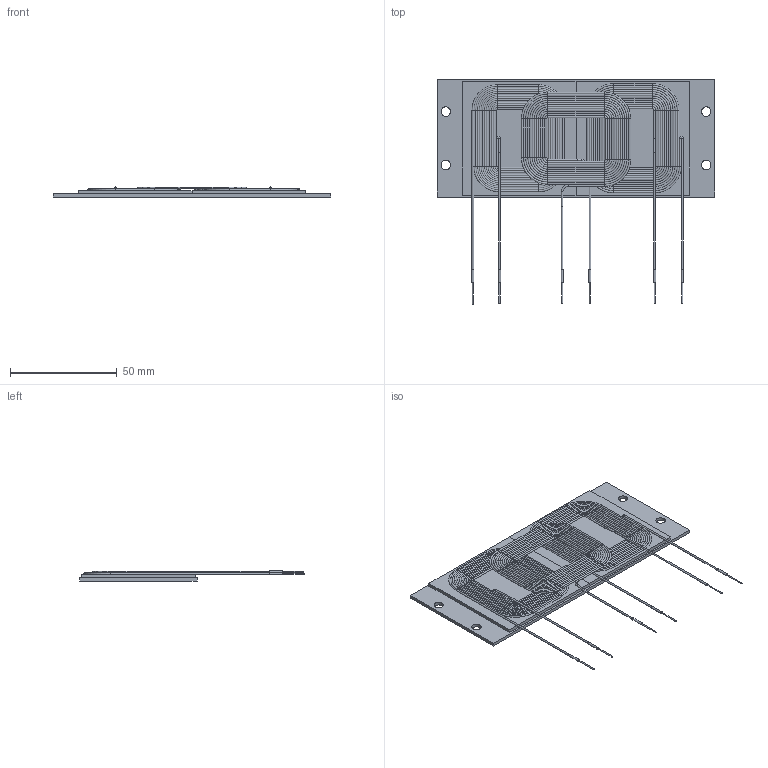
import cadquery as cq
import math

plate_length = 130.0
plate_width = 55.0
plate_thickness = 1.5
mounting_hole_diameter = 4.4
mounting_hole_spacing_x = 122.0
mounting_hole_spacing_y = 25.0

tile_length = 53.3
tile_width = 53.3
tile_thickness = 1.52

wire_diameter = 0.8
sleeve_diameter = 1.0
sleeve_length = 6.2
tip_diameter = 0.5

turns = 12
turn_pitch = 1.0
left_turns = 14
left_turn_pitch = 0.82

long_straight = 26.35
short_straight = 18.25
left_short_straight = 18.6

right_coil_inset = 17.55
left_coil_inset = 17.4

layer_ramp_length = 6.6
u_turn_width = 1.0
lead_bend_radius = 3.0
centre_lead_x = 6.5
crossing_x = 3.6
crossing_bend_radius = 1.0
crossing_drop_length = 2.0

sleeve_start_y = -61.3
lead_end_y = -77.3
longest_lead_end_y = -77.8

tile_top = plate_thickness + tile_thickness
lower_layer = tile_top + wire_diameter / 2
upper_layer = lower_layer + wire_diameter

half_diagonal = math.sqrt(0.5)
joint_tolerance = 1e-6


def line(start, end):
    return cq.Edge.makeLine(cq.Vector(*start), cq.Vector(*end))


def flat_arc(points, height):
    """Arc through three (x, y) points at one height."""
    return cq.Edge.makeThreePointArc(*[cq.Vector(x, y, height) for x, y in points])


def join(edges):
    """Adds the straight stretches that bridge the gaps between successive edges."""
    path = [edges[0]]
    for edge in edges[1:]:
        gap_start = path[-1].endPoint()
        gap_end = edge.startPoint()
        if (gap_end - gap_start).Length > joint_tolerance:
            path.append(cq.Edge.makeLine(gap_start, gap_end))
        path.append(edge)
    return path


def corner_arc(centre, start_direction, end_direction, radius, height, place):
    """Quarter turn about a corner centre, from one axis direction to the next."""
    middle_direction = [half_diagonal * (a + b) for a, b in zip(start_direction, end_direction)]
    directions = (start_direction, middle_direction, end_direction)
    points = [place(*[c + radius * d for c, d in zip(centre, direction)]) for direction in directions]
    return flat_arc(points, height)


def winding(height, place, turn_count=turns, pitch=turn_pitch, short=short_straight):
    """Corner arcs of a rounded rectangular spiral, from its inner end to its outer end.

    Before `place` moves it, the spiral is centred on the origin and both its ends are on the +X leg.
    The lower +X corner centre lies one pitch further out than the upper one, so each turn steps out there.
    """
    x = short / 2
    y = long_straight / 2
    east, north, west, south = (1, 0), (0, 1), (-1, 0), (0, -1)
    corners = [
        ((x, y), east, north),
        ((-x, y), north, west),
        ((-x, -y), west, south),
        ((x + pitch, -y), south, east),
    ]
    return [
        corner_arc(centre, start, end, turn * pitch, height, place)
        for turn in range(1, turn_count + 1)
        for centre, start, end in corners
    ]


def lead_end(x, height, end_y):
    """Sleeve and bare tip at the free end of a lead."""
    section = cq.Workplane("XZ", origin=(x, sleeve_start_y, height))
    sleeve = section.circle(sleeve_diameter / 2).extrude(sleeve_length)
    tip = section.circle(tip_diameter / 2).extrude(sleeve_start_y - end_y)
    return sleeve.union(tip)


def wire_body(edges, lead_ends):
    """Sweeps the wire along its path and adds the ends of its leads, given as (x, height, end_y)."""
    path = cq.Wire.assembleEdges(edges)
    start_plane = cq.Plane(
        origin=edges[0].startPoint().toTuple(),
        normal=edges[0].tangentAt(0).toTuple(),
    )
    section = cq.Workplane(start_plane).circle(wire_diameter / 2)
    body = section.sweep(cq.Workplane(path), transition="transformed")
    for x, height, end_y in lead_ends:
        body = body.union(lead_end(x, height, end_y))
    return body


def crossing_lead(x):
    """Inner lead of a side coil: it runs over the winding and ramps down to the tile at Y = 0."""
    return [
        line((x, sleeve_start_y, upper_layer), (x, -layer_ramp_length, upper_layer)),
        line((x, -layer_ramp_length, upper_layer), (x, 0, lower_layer)),
    ]


def outer_lead(x):
    """Outer lead of a side coil: it runs straight out along the tile from Y = 0."""
    return line((x, 0, lower_layer), (x, sleeve_start_y, lower_layer))


def u_turn(x_from, x_to):
    """Half circle above Y = 0 that turns the wire back beside itself."""
    radius = (x_to - x_from) / 2
    return flat_arc([(x_from, 0), (x_from + radius, abs(radius)), (x_to, 0)], lower_layer)


def right_coil():
    """The outer end makes the U-turn to its lead."""
    centre_x = right_coil_inset + short_straight / 2
    spiral = winding(lower_layer, lambda x, y: (centre_x + x, y))
    inner_x = spiral[0].startPoint().x
    leg_x = spiral[-1].endPoint().x
    outer_x = leg_x + u_turn_width
    edges = [*crossing_lead(inner_x), *spiral, u_turn(leg_x, outer_x), outer_lead(outer_x)]
    lead_ends = [(inner_x, upper_layer, lead_end_y), (outer_x, lower_layer, lead_end_y)]
    return wire_body(join(edges), lead_ends)


def left_coil():
    """Turned half round from the right coil, so the inner end makes the U-turn to its lead."""
    centre_x = -left_coil_inset - left_short_straight / 2
    spiral = winding(
        lower_layer,
        lambda x, y: (centre_x - x, -y),
        left_turns,
        left_turn_pitch,
        left_short_straight,
    )
    leg_x = spiral[0].startPoint().x
    inner_x = leg_x + u_turn_width
    outer_x = spiral[-1].endPoint().x
    edges = [*crossing_lead(inner_x), u_turn(inner_x, leg_x), *spiral, outer_lead(outer_x)]
    lead_ends = [(inner_x, upper_layer, lead_end_y), (outer_x, lower_layer, longest_lead_end_y)]
    return wire_body(join(edges), lead_ends)


def centre_inner_lead(inner_y, outer_y):
    """Lead that swings in between the side coils, passes under the winding and climbs to its inner end."""
    swing_angle = math.acos(1 - (centre_lead_x - crossing_x) / (2 * lead_bend_radius))
    swing_length = lead_bend_radius * math.sin(swing_angle)
    bulge_x = lead_bend_radius * (1 - math.cos(swing_angle / 2))
    bulge_y = lead_bend_radius * math.sin(swing_angle / 2)
    swing_end_y = outer_y + 2 * swing_length
    swing_middle = ((crossing_x + centre_lead_x) / 2, outer_y + swing_length)

    bend_x = crossing_x - crossing_bend_radius
    bend_y = inner_y - crossing_bend_radius
    bend_reach = crossing_bend_radius * half_diagonal
    return [
        line((centre_lead_x, sleeve_start_y, lower_layer), (centre_lead_x, outer_y, lower_layer)),
        flat_arc(
            [(centre_lead_x, outer_y), (centre_lead_x - bulge_x, outer_y + bulge_y), swing_middle],
            lower_layer,
        ),
        flat_arc(
            [swing_middle, (crossing_x + bulge_x, swing_end_y - bulge_y), (crossing_x, swing_end_y)],
            lower_layer,
        ),
        flat_arc(
            [(crossing_x, bend_y), (bend_x + bend_reach, bend_y + bend_reach), (bend_x, inner_y)],
            lower_layer,
        ),
        line((bend_x, inner_y, lower_layer), (bend_x - crossing_drop_length, inner_y, upper_layer)),
    ]


def centre_outer_lead(outer_y):
    """Lead that bends off the outermost turn and ramps down to the lower layer."""
    x = -centre_lead_x
    bend_x = x + lead_bend_radius
    bend_y = outer_y - lead_bend_radius
    bend_reach = lead_bend_radius * half_diagonal
    ramp_end_y = bend_y - layer_ramp_length
    return [
        flat_arc([(bend_x, outer_y), (bend_x - bend_reach, bend_y + bend_reach), (x, bend_y)], upper_layer),
        line((x, bend_y, upper_layer), (x, ramp_end_y, lower_layer)),
        line((x, ramp_end_y, lower_layer), (x, sleeve_start_y, lower_layer)),
    ]


def centre_coil():
    """Winding laid crosswise over the side coils, with both ends on its -Y leg."""
    spiral = winding(upper_layer, lambda x, y: (-y, -x))
    inner_y = spiral[0].startPoint().y
    outer_y = spiral[-1].endPoint().y
    edges = [*centre_inner_lead(inner_y, outer_y), *spiral, *centre_outer_lead(outer_y)]
    lead_ends = [(side * centre_lead_x, lower_layer, lead_end_y) for side in (-1, 1)]
    return wire_body(join(edges), lead_ends)


def base_plate():
    return (
        cq.Workplane("XY")
        .box(plate_length, plate_width, plate_thickness, centered=(True, True, False))
        .rarray(mounting_hole_spacing_x, mounting_hole_spacing_y, 2, 2)
        .circle(mounting_hole_diameter / 2)
        .cutThruAll()
    )


def ferrite_tile(side):
    base = cq.Workplane("XY", origin=(side * tile_length / 2, 0, plate_thickness))
    return base.box(tile_length, tile_width, tile_thickness, centered=(True, True, False))


tiles = [ferrite_tile(side).val() for side in (-1, 1)]

result = cq.Compound.makeCompound(
    [base_plate().val(), *tiles, left_coil().val(), right_coil().val(), centre_coil().val()]
)